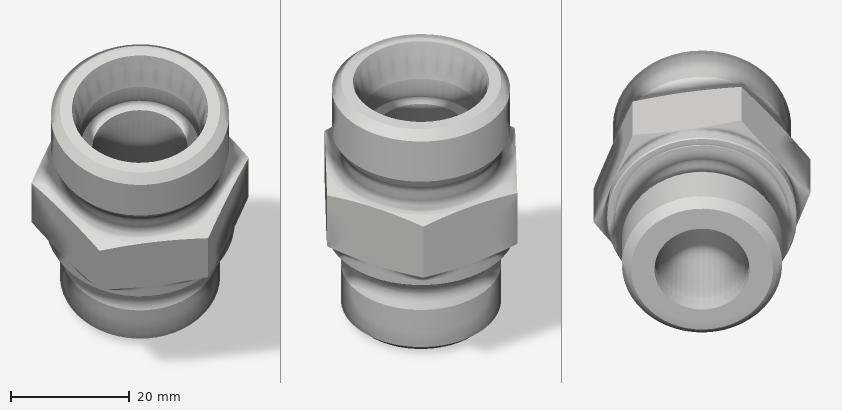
import cadquery as cq
import math

TOTAL_HEIGHT = 47.0
HEX_TOP = 30.95
HEX_BOTTOM = 19.0
COLLAR_BOTTOM = 16.07
SEAL_BOTTOM = 15.8
LOWER_THREAD_TOP = 9.25
UPPER_THREAD_BOTTOM = 37.15

HEX_ACROSS_FLATS = 32.0
COLLAR_DIAMETER = 31.9
SEAL_DIAMETER = 29.3
LOWER_THREAD_DIAMETER = 27.0
LOWER_NECK_DIAMETER = 23.8
LOWER_END_DIAMETER = 23.9
UPPER_THREAD_DIAMETER = 30.0
UPPER_NECK_DIAMETER = 27.0
UPPER_END_DIAMETER = 27.0

RUNOUT_ANGLE = 30.0
LOWER_RUNOUT_FILLET = 1.6
UPPER_RUNOUT_FILLET = 1.18
SHOULDER_FILLET = 1.15
COLLAR_CHAMFER = 0.2
HEX_CHAMFER_ANGLE = 15.0

BORE_DIAMETER = 16.0
SOCKET_DIAMETER = 20.0
SOCKET_DEPTH = 10.55
MOUTH_DIAMETER = 22.9
MOUTH_CONE_DEPTH = 6.75


def cylinder(diameter, bottom, top):
    return cq.Workplane("XY").workplane(offset=bottom).circle(diameter / 2).extrude(top - bottom)


def cone_height(large_diameter, small_diameter, angle_from_axis):
    return (large_diameter - small_diameter) / 2 / math.tan(math.radians(angle_from_axis))


def revolve_outline(points):
    """Revolve a closed outline of (radius, height) points about Z."""
    return cq.Workplane("XZ").polyline(points).close().revolve(360, (0, 0, 0), (0, 1, 0))


def fillet_circle(body, diameter, height, radius):
    """Round the circular edge of the given diameter and height."""
    margin = 0.05
    reach = diameter / 2 + margin
    corner = cq.selectors.BoxSelector(
        (-reach, -reach, height - margin), (reach, reach, height + margin), boundingbox=True
    )
    return body.edges(corner).fillet(radius)


def make_lower_stud():
    """Lower threaded end with its neck, reaching up to the hexagon."""
    thread = LOWER_THREAD_DIAMETER / 2
    neck = LOWER_NECK_DIAMETER / 2
    end = LOWER_END_DIAMETER / 2
    neck_bottom = LOWER_THREAD_TOP + cone_height(LOWER_THREAD_DIAMETER, LOWER_NECK_DIAMETER, RUNOUT_ANGLE)
    stud = revolve_outline([
        (0, 0),
        (end, 0),
        (thread, thread - end),
        (thread, LOWER_THREAD_TOP),
        (neck, neck_bottom),
        (neck, HEX_BOTTOM),
        (0, HEX_BOTTOM),
    ])
    return fillet_circle(stud, LOWER_NECK_DIAMETER, neck_bottom, LOWER_RUNOUT_FILLET)


def make_upper_stud():
    """Upper threaded end with its neck, blending into a disc within the hexagon."""
    thread = UPPER_THREAD_DIAMETER / 2
    neck = UPPER_NECK_DIAMETER / 2
    end = UPPER_END_DIAMETER / 2
    base = COLLAR_DIAMETER / 2
    neck_top = UPPER_THREAD_BOTTOM - cone_height(UPPER_THREAD_DIAMETER, UPPER_NECK_DIAMETER, RUNOUT_ANGLE)
    stud = revolve_outline([
        (0, HEX_BOTTOM),
        (base, HEX_BOTTOM),
        (base, HEX_TOP),
        (neck, HEX_TOP),
        (neck, neck_top),
        (thread, UPPER_THREAD_BOTTOM),
        (thread, TOTAL_HEIGHT - (thread - end)),
        (end, TOTAL_HEIGHT),
        (0, TOTAL_HEIGHT),
    ])
    stud = fillet_circle(stud, UPPER_NECK_DIAMETER, HEX_TOP, SHOULDER_FILLET)
    return fillet_circle(stud, UPPER_NECK_DIAMETER, neck_top, UPPER_RUNOUT_FILLET)


def make_hexagon():
    """Spanner hexagon with flats facing X and conical chamfers at both ends."""
    across_corners = HEX_ACROSS_FLATS / math.cos(math.radians(30))
    height = HEX_TOP - HEX_BOTTOM
    prism = (
        cq.Workplane("XY").workplane(offset=HEX_BOTTOM)
        .polygon(6, across_corners).extrude(height)
        .rotate((0, 0, 0), (0, 0, 1), 30)
    )
    inner = COLLAR_DIAMETER / 2
    outer = across_corners / 2
    drop = (outer - inner) * math.tan(math.radians(HEX_CHAMFER_ANGLE))
    envelope = revolve_outline([
        (0, HEX_BOTTOM),
        (inner, HEX_BOTTOM),
        (outer, HEX_BOTTOM + drop),
        (outer, HEX_TOP - drop),
        (inner, HEX_TOP),
        (0, HEX_TOP),
    ])
    return prism.intersect(envelope)


def make_collar():
    collar = cylinder(COLLAR_DIAMETER, COLLAR_BOTTOM, HEX_BOTTOM)
    return collar.faces("<Z").edges().chamfer(COLLAR_CHAMFER)


def make_passage():
    """Through bore, tube socket and tapered mouth, open at the top."""
    bore = BORE_DIAMETER / 2
    socket = SOCKET_DIAMETER / 2
    return revolve_outline([
        (0, 0),
        (bore, 0),
        (bore, TOTAL_HEIGHT - SOCKET_DEPTH),
        (socket, TOTAL_HEIGHT - SOCKET_DEPTH),
        (socket, TOTAL_HEIGHT - MOUTH_CONE_DEPTH),
        (MOUTH_DIAMETER / 2, TOTAL_HEIGHT),
        (0, TOTAL_HEIGHT),
    ])


def make_fitting():
    outside = make_hexagon().union(make_collar()).union(make_lower_stud()).union(make_upper_stud())
    return outside.cut(make_passage())


def make_seal_ring():
    """Flat ring around the lower neck, lying against the collar."""
    disc = cylinder(SEAL_DIAMETER, SEAL_BOTTOM, COLLAR_BOTTOM)
    return disc.cut(cylinder(LOWER_NECK_DIAMETER, SEAL_BOTTOM, COLLAR_BOTTOM))


fitting = make_fitting()
seal_ring = make_seal_ring()
result = cq.Compound.makeCompound([fitting.solids().val(), seal_ring.solids().val()])